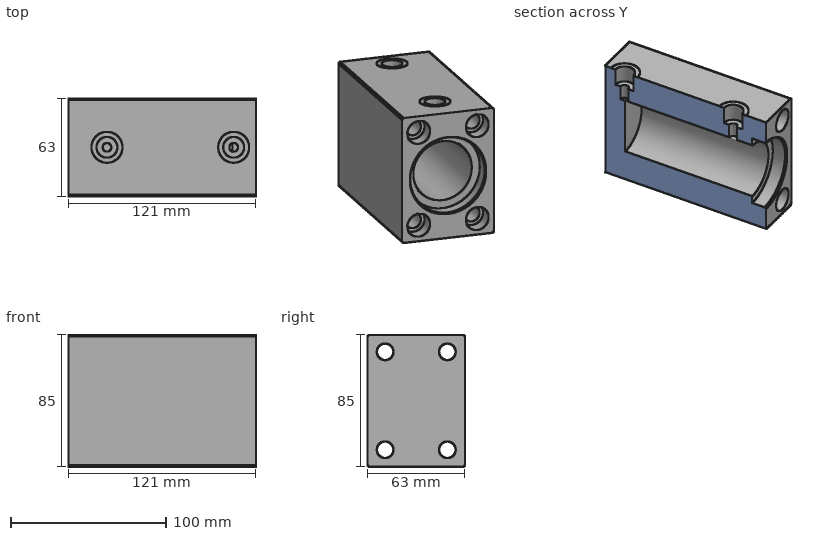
import cadquery as cq

LENGTH = 121.0
WIDTH = 63.0
HEIGHT = 85.0
EDGE_CHAMFER = 1.1

BORE_DIAMETER = 40.0
BORE_DEPTH = 105.8
SEAT_DIAMETER = 51.0
SEAT_DEPTH = 10.4
SEAT_MOUTH_DIAMETER = 52.3
SEAT_LEAD_IN_DEPTH = 1.2

BOLT_SPACING_Y = 40.0
BOLT_SPACING_Z = 63.0
BOLT_HOLE_DIAMETER = 10.5
BOLT_COUNTERBORE_DIAMETER = 15.5
BOLT_COUNTERBORE_DEPTH = 10.5

PORT_POSITIONS_X = (24.9, 106.5)
SPOT_FACE_DIAMETER = 20.0
SPOT_FACE_DEPTH = 0.1
PORT_DIAMETER = 13.4
PORT_DEPTH = 12.1
PASSAGE_DIAMETER = 5.6
PASSAGE_WEB = 0.2
PASSAGE_DEPTH = (HEIGHT - BORE_DIAMETER) / 2 - PASSAGE_WEB


def axial_cylinder(diameter, depth, y=0.0, z=0.0):
    """Cylinder along +X starting at the open face."""
    return cq.Workplane("YZ").center(y, z).circle(diameter / 2).extrude(depth)


def top_cylinder(diameter, depth, x):
    """Cylinder running down from the top face."""
    top_plane = cq.Workplane("XY", origin=(x, 0, HEIGHT / 2))
    return top_plane.circle(diameter / 2).extrude(-depth)


def make_block():
    block = cq.Workplane("XY").box(LENGTH, WIDTH, HEIGHT, centered=(False, True, True))
    return block.edges("|X").chamfer(EDGE_CHAMFER)


def make_bore():
    """Stepped bore with a tapered lead-in, revolved about the X axis."""
    bore_radius = BORE_DIAMETER / 2
    seat_radius = SEAT_DIAMETER / 2
    profile = (
        cq.Workplane("XZ")
        .moveTo(0, 0)
        .lineTo(0, SEAT_MOUTH_DIAMETER / 2)
        .lineTo(SEAT_LEAD_IN_DEPTH, seat_radius)
        .lineTo(SEAT_DEPTH, seat_radius)
        .lineTo(SEAT_DEPTH, bore_radius)
        .lineTo(BORE_DEPTH, bore_radius)
        .lineTo(BORE_DEPTH, 0)
        .close()
    )
    return profile.revolve(360, (0, 0, 0), (1, 0, 0))


def make_bolt_hole(y, z):
    counterbore = axial_cylinder(BOLT_COUNTERBORE_DIAMETER, BOLT_COUNTERBORE_DEPTH, y, z)
    return axial_cylinder(BOLT_HOLE_DIAMETER, LENGTH, y, z).union(counterbore)


def make_port(x):
    """Spot face, port and a narrow passage ending just above the bore."""
    spot_face = top_cylinder(SPOT_FACE_DIAMETER, SPOT_FACE_DEPTH, x)
    port = top_cylinder(PORT_DIAMETER, PORT_DEPTH, x)
    passage = top_cylinder(PASSAGE_DIAMETER, PASSAGE_DEPTH, x)
    return passage.union(port).union(spot_face)


result = make_block().cut(make_bore())

for side_y in (-1, 1):
    for side_z in (-1, 1):
        bolt_hole = make_bolt_hole(side_y * BOLT_SPACING_Y / 2, side_z * BOLT_SPACING_Z / 2)
        result = result.cut(bolt_hole)

for port_x in PORT_POSITIONS_X:
    result = result.cut(make_port(port_x))